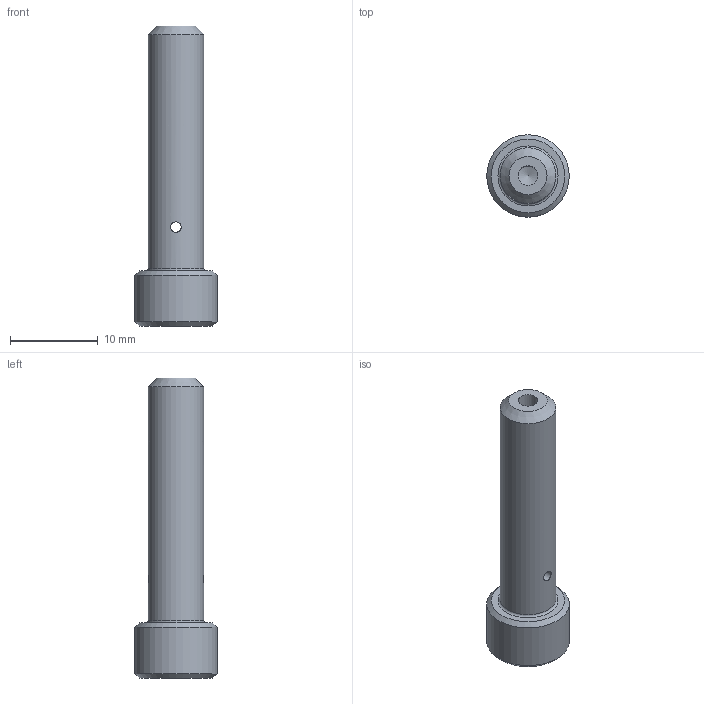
import cadquery as cq
import math

total_length = 34.21
head_diameter = 9.4
head_height = 6.275
shank_diameter = 6.35

tip_chamfer = 1.0
head_chamfer = 0.5
neck_fillet = 0.25

bore_diameter = 2.25
drill_point_angle = 140.0

cross_hole_diameter = 1.2
cross_hole_height = 11.28

bore_floor_height = cross_hole_height - cross_hole_diameter


def make_head():
    """Cylindrical head with both rims chamfered."""
    head = cq.Workplane("XY").circle(head_diameter / 2).extrude(head_height)
    return head.faces("<Z or >Z").edges().chamfer(head_chamfer)


def make_shank():
    """Shank standing on the head, chamfered at its free end."""
    shank = cq.Workplane("XY").circle(shank_diameter / 2).extrude(total_length)
    return shank.faces(">Z").edges().chamfer(tip_chamfer)


def make_neck():
    """Ring with a concave quarter-round side that blends the shank into the head."""
    shank_radius = shank_diameter / 2
    arc_offset = neck_fillet * (1 - math.sqrt(0.5))
    profile = (
        cq.Workplane("XZ")
        .moveTo(0, head_height)
        .lineTo(shank_radius + neck_fillet, head_height)
        .threePointArc(
            (shank_radius + arc_offset, head_height + arc_offset),
            (shank_radius, head_height + neck_fillet),
        )
        .lineTo(0, head_height + neck_fillet)
        .close()
    )
    return profile.revolve(360, (0, 0, 0), (0, 1, 0))


def make_bore():
    """Blind drilled hole with its conical point at the bottom."""
    bore_radius = bore_diameter / 2
    point_depth = bore_radius / math.tan(math.radians(drill_point_angle / 2))
    profile = (
        cq.Workplane("XZ")
        .moveTo(0, bore_floor_height - point_depth)
        .lineTo(bore_radius, bore_floor_height)
        .lineTo(bore_radius, total_length)
        .lineTo(0, total_length)
        .close()
    )
    return profile.revolve(360, (0, 0, 0), (0, 1, 0))


def make_cross_hole():
    """Pin running right through the shank along Y."""
    return (
        cq.Workplane("XZ")
        .center(0, cross_hole_height)
        .circle(cross_hole_diameter / 2)
        .extrude(shank_diameter, both=True)
    )


body = make_head().union(make_shank()).union(make_neck())
result = body.cut(make_bore()).cut(make_cross_hole())